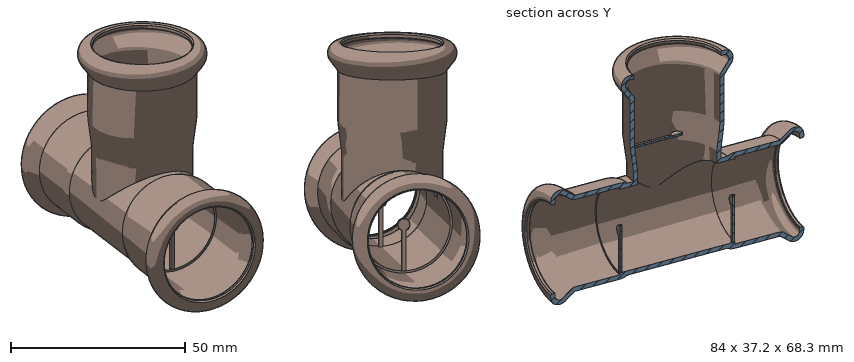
import cadquery as cq
import math

length = 84.0
run_reach = length / 2
bead_radius = 18.61
total_height = 68.3
branch_reach = total_height - bead_radius

socket_outer_radius = 31.3 / 2
socket_bore_radius = 28.2 / 2
wall = socket_outer_radius - socket_bore_radius
bead_arc_radius = 3.07
bead_arc_centre_radius = bead_radius - bead_arc_radius
taper_angle = math.radians(37)
lip_radius = 28.8 / 2
lip_chamfer = 0.4
lip_back_chamfer = 0.25
flank_root_setback = 0.55

run_outer_radius = 30.0 / 2
run_bore_radius = 27.0 / 2
run_socket_depth = 22.9
run_shoulder_length = 2.5
run_shoulder_arc_radius = (
    run_shoulder_length**2 + (socket_outer_radius - run_outer_radius)**2
) / (2 * (socket_outer_radius - run_outer_radius))

neck_outer_radius = 29.1 / 2
neck_bore_radius = 26.0 / 2
branch_socket_depth = 23.2
neck_cone_length = 8.9
cone_top_setback = 0.25
cone_bottom_setback = 0.75

tab_disc_radius = 1.8
tab_stem_width = 1.3
tab_thickness = 0.8


def toward(start, end, distance):
    """Point at a given distance from start on the way to end."""
    ratio = distance / math.dist(start, end)
    return tuple(a + (b - a) * ratio for a, b in zip(start, end))


def rounded_corner(path, before, corner, after, setback):
    """Run a line up to a corner and round it with a tangent arc."""
    path = path.lineTo(*toward(corner, before, setback))
    return path.tangentArcPoint(toward(corner, after, setback), relative=False)


def bead_arc_point(reach, arc_radius, angle):
    """(radius, height) on the bead circle; angle 0 is its widest point, positive is rearward."""
    return (
        bead_arc_centre_radius + arc_radius * math.cos(angle),
        reach - bead_arc_radius - arc_radius * math.sin(angle),
    )


def flank_root(flank_start, radius):
    """Where the bead's rear flank comes down to the given radius."""
    drop = (flank_start[0] - radius) / math.tan(taper_angle)
    return (radius, flank_start[1] - drop)


def start_outside(reach):
    """Half outline of the outer bead, from the axis to the socket's outer wall."""
    flank_start = bead_arc_point(reach, bead_arc_radius, taper_angle)
    return (
        cq.Workplane("XZ")
        .moveTo(0, reach)
        .lineTo(bead_arc_centre_radius, reach)
        .threePointArc(bead_arc_point(reach, bead_arc_radius, 0), flank_start)
        .lineTo(*flank_root(flank_start, socket_outer_radius))
    )


def start_cavity(reach):
    """Half outline of the mouth and hollow bead, from the axis to the socket's bore."""
    hollow_radius = bead_arc_radius - wall
    flank_start = bead_arc_point(reach, hollow_radius, taper_angle)
    root = flank_root(flank_start, socket_bore_radius)
    path = (
        cq.Workplane("XZ")
        .moveTo(0, reach)
        .lineTo(lip_radius + lip_chamfer, reach)
        .lineTo(lip_radius, reach - lip_chamfer)
        .lineTo(lip_radius, reach - wall + lip_back_chamfer)
        .lineTo(lip_radius + lip_back_chamfer, reach - wall)
        .lineTo(bead_arc_centre_radius, reach - wall)
        .threePointArc(bead_arc_point(reach, hollow_radius, 0), flank_start)
    )
    return rounded_corner(path, flank_start, root, (socket_bore_radius, 0), flank_root_setback)


def spin(path):
    """Close a half outline along the axis at the origin and revolve it about Z."""
    return path.lineTo(0, 0).close().revolve(360, (0, 0, 0), (0, 1, 0))


def run_outside():
    socket_end = run_reach - run_socket_depth
    arc_half_angle = math.asin(run_shoulder_length / run_shoulder_arc_radius) / 2
    shoulder_middle = (
        socket_outer_radius - run_shoulder_arc_radius * (1 - math.cos(arc_half_angle)),
        socket_end - run_shoulder_arc_radius * math.sin(arc_half_angle),
    )
    return spin(
        start_outside(run_reach)
        .lineTo(socket_outer_radius, socket_end)
        .threePointArc(shoulder_middle, (run_outer_radius, socket_end - run_shoulder_length))
        .lineTo(run_outer_radius, 0)
    )


def run_cavity():
    socket_end = run_reach - run_socket_depth
    return spin(
        start_cavity(run_reach)
        .lineTo(socket_bore_radius, socket_end)
        .lineTo(run_bore_radius, socket_end)
        .lineTo(run_bore_radius, 0)
    )


def branch_outside():
    socket_start = (socket_outer_radius, branch_reach)
    cone_top = (socket_outer_radius, branch_reach - branch_socket_depth)
    cone_bottom = (neck_outer_radius, cone_top[1] - neck_cone_length)
    neck_end = (neck_outer_radius, 0)
    path = start_outside(branch_reach)
    path = rounded_corner(path, socket_start, cone_top, cone_bottom, cone_top_setback)
    path = rounded_corner(path, cone_top, cone_bottom, neck_end, cone_bottom_setback)
    return spin(path.lineTo(*neck_end))


def branch_cavity():
    socket_end = branch_reach - branch_socket_depth
    return spin(
        start_cavity(branch_reach)
        .lineTo(socket_bore_radius, socket_end)
        .lineTo(neck_bore_radius, socket_end - neck_cone_length)
        .lineTo(neck_bore_radius, 0)
    )


def to_right(shape):
    """Turn a port pointing up so that it points along +X."""
    return shape.rotate((0, 0, 0), (0, 1, 0), 90)


def to_left(shape):
    """Turn a port pointing up so that it points along -X, opposite the right-hand one."""
    return to_right(shape).rotate((0, 0, 0), (0, 0, 1), 180)


def make_tab(cavity, socket_end):
    """Flat disc on the port axis with a stem reaching the bore wall on the +X side."""
    disc = cq.Workplane("XY").circle(tab_disc_radius).extrude(-tab_thickness)
    stem = cq.Workplane("XY").box(
        socket_outer_radius, tab_stem_width, tab_thickness, centered=(False, True, False)
    ).translate((0, 0, -tab_thickness))
    return disc.union(stem).translate((0, 0, socket_end)).intersect(cavity)


run_shell = run_outside()
run_hollow = run_cavity()
branch_hollow = branch_cavity()
run_solid = to_right(run_shell).union(to_left(run_shell))
full_hollow = to_right(run_hollow).union(to_left(run_hollow)).union(branch_hollow)
tee = run_solid.union(branch_outside()).cut(full_hollow)

run_tab = make_tab(run_hollow, run_reach - run_socket_depth)
branch_tab = make_tab(branch_hollow, branch_reach - branch_socket_depth)
tabs = [branch_tab] + [turn(run_tab) for turn in (to_right, to_left)]

result = cq.Compound.makeCompound([tee.val()] + [tab.val() for tab in tabs])